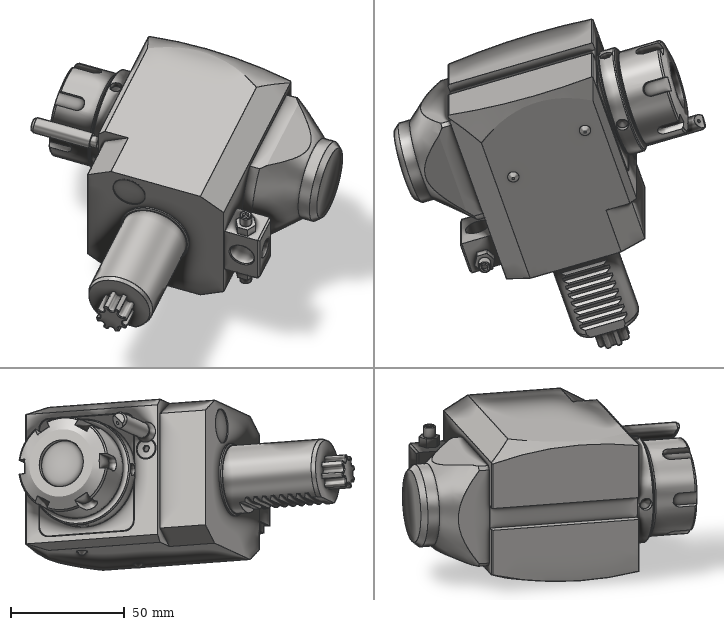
import cadquery as cq
import math


HALF_WIDTH = 32.0
BACK_Y = 84.0
LEFT_X = -35.0
STEP_Y = 21.4
CORNER_RUN = 11.0
CORNER_RISE = CORNER_RUN * math.tan(math.radians(30))
LEFT_BEVEL = -HALF_WIDTH - LEFT_X
CROWN_X = -8.9
CROWN_RADIUS = 146.0
CROWN_EDGE_Z = 31.1
CROWN_SLOPE = math.tan(math.radians(15))
BACK_BEVEL = 0.5
KEYWAY_WIDTH = 10.0
KEYWAY_DEPTH = 3.6
DISC_X, DISC_Z = -12.5, 21.8
DISC_RADIUS = 7.5
DISC_DEPTH = 0.5

SHANK_RADIUS = 15.0
SHANK_LENGTH = 45.0
SHANK_BEVEL_LENGTH, SHANK_BEVEL_DEPTH = 1.8, 0.7
COLLAR_RADIUS = 16.0
COLLAR_LENGTH = 1.4
COLLAR_BEVEL = 0.5
RACK_START_Y = -6.8
RACK_TIP_Z = -12.1
RACK_ROOT_Z = -10.4
RACK_COUNT = 8
RACK_PITCH = 4.0
RACK_FIRST_Y = -11.1
RACK_ROOT_WIDTH, RACK_TOP_WIDTH = 1.3, 3.2
SPLINE_RADIUS = 7.4
SPLINE_LENGTH = 10.0
SPLINE_COUNT = 8
SPLINE_GAP_CENTER = 6.7
SPLINE_GAP_RADIUS = 1.5
SPLINE_BEVEL = 0.4
SPLINE_TIP_ROUND = 0.5

SPINDLE_Y = 55.0
RING_RADIUS = 23.6
RING_FRONT_X, RING_BACK_X = -43.1, -35.7
NECK_RADIUS = 17.8
RING_NECK_RADIUS = 22.8
RING_HOLE_RADIUS = 2.6
RING_HOLE_DEPTH = 4.2
RING_HOLE_POINT = RING_HOLE_RADIUS * math.tan(math.radians(31))
RING_HOLE_X = (RING_FRONT_X + RING_BACK_X) / 2
NUT_RADIUS = 21.1
NUT_FRONT_X, NUT_BACK_X = -64.8, -44.0
NUT_FACE_RADIUS = 15.0
NUT_SHOULDER_RADIUS = 20.5
NUT_SHOULDER_X = -63.2
NUT_LAND_X = -62.4
EDGE_BEVEL = 0.5
BORE_RADIUS = 10.4
BORE_DEPTH = 2.8
NUT_SLOT_COUNT = 6
NUT_SLOT_WIDTH = 6.4
NUT_SLOT_END_X = -52.4
NUT_LONG_SLOT_END_X = -50.5
NUT_SLOT_FLOOR = 17.7
PAD_WIDTH, PAD_HEIGHT = 45.0, 52.8
PAD_CORNER = 4.7
GROOVE_WIDTH = 0.3
GROOVE_DEPTH = 0.3

PIN_Y, PIN_Z = 26.8, 17.1
PIN_TIP_X = -67.7
PIN_RADIUS = 3.5
PIN_BEVEL_LENGTH, PIN_BEVEL_DEPTH = 1.3, 0.7
PIN_BODY_END_X = -40.2
PIN_NECK_RADIUS = 2.5
PIN_FLARE_X = -37.0
PIN_FLARE_RADIUS = 4.5
PIN_OUTLET_RADIUS = 0.7
PIN_OUTLET_DEPTH = 2.1
PLUG_Z = 9.7
PLUG_RADIUS = 4.6
PLUG_SOCKET_DIAMETER = 3.0

BOSS_RADIUS = 32.2
BOSS_CONE_X = 36.5
BOSS_END_RADIUS = 18.2
BOSS_CONE_END_X = 53.0
BOSS_END_X = 60.9
BOSS_END_BEVEL_LENGTH, BOSS_END_BEVEL_DEPTH = 2.6, 2.2
BOSS_HALF_HEIGHT = 23.0
BOSS_SLOPE_X = 38.9
BOSS_TOP_Y = 24.2

BLOCK_END_X = 48.2
BLOCK_FRONT_Y, BLOCK_BACK_Y = 1.3, 16.1
BLOCK_HALF_HEIGHT = 12.2
BLOCK_BEVEL = 0.8
BLOCK_HOLE_RADIUS = 5.5
BLOCK_HOLE_BEVEL = 0.4
SIDE_HOLE_Y = (BLOCK_FRONT_Y + BLOCK_BACK_Y) / 2
SIDE_HOLE_RADIUS = 4.5
SCREW_X, SCREW_Y = 40.0, 6.1
SCREW_RADIUS = 2.6
SCREW_END_Z = 21.1
SCREW_BEVEL = 0.4
SCREW_SOCKET_DIAMETER = 3.0
SCREW_SOCKET_DEPTH = 1.7
NUT_HEX_DIAMETER = 9.3
NUT_HEX_TOP_Z = 16.3

STUD_PLACES = [(-24.2, 61.5), (12.8, 49.5)]
STUD_RADIUS = 2.5
STUD_TIP_RADIUS = 0.5
STUD_HEIGHT = 1.7

EMBED = 1.4
FAR = 139.0


def box(x0, x1, y0, y1, z0, z1):
    return cq.Workplane("XY").box(x1 - x0, y1 - y0, z1 - z0, centered=False).translate((x0, y0, z0))


def turned_x(profile, y, z):
    """Revolve (x, radius) points about the line parallel to X through (y, z)."""
    return cq.Workplane("XY").polyline(profile).close().revolve(360, (0, 0), (1, 0)).translate((0, y, z))


def turned_y(profile):
    """Revolve (y, radius) points about the Y axis."""
    points = [(radius, y) for y, radius in profile]
    return cq.Workplane("XY").polyline(points).close().revolve(360, (0, 0), (0, 1))


def left_face_plane(y, z):
    """Plane on the spindle face; local x runs along -Y, local y along Z, normal along -X."""
    return cq.Workplane(cq.Plane(origin=(LEFT_X, y, z), xDir=(0, -1, 0), normal=(-1, 0, 0)))


def beveled_outline(left, left_run, left_rise):
    """XZ outline with bevels on all four corners; the right-hand bevels are always the same."""
    half = HALF_WIDTH
    upper = [
        (left, half - left_rise),
        (left + left_run, half),
        (half - CORNER_RUN, half),
        (half, half - CORNER_RISE),
    ]
    lower = [(x, -z) for x, z in reversed(upper)]
    return cq.Workplane("XZ").polyline(upper + lower).close()


def crown():
    """Cone that limits the top of the housing toward the back face."""
    front_y = -EMBED
    back_y = BACK_Y + EMBED
    front_radius = CROWN_RADIUS + (BACK_Y - front_y) * CROWN_SLOPE
    back_radius = CROWN_RADIUS + (BACK_Y - back_y) * CROWN_SLOPE
    cone = turned_y([(front_y, 0), (front_y, front_radius), (back_y, back_radius), (back_y, 0)])
    return cone.translate((CROWN_X, 0, CROWN_EDGE_Z - CROWN_RADIUS))


def housing():
    front = beveled_outline(-HALF_WIDTH, CORNER_RUN, CORNER_RISE).extrude(-STEP_Y)
    rear = beveled_outline(LEFT_X, LEFT_BEVEL, LEFT_BEVEL).extrude(STEP_Y - BACK_Y)
    rear = rear.translate((0, STEP_Y, 0))
    rear = rear.faces(">Y").edges("|Z").chamfer(BACK_BEVEL)
    body = front.union(rear)
    upper_crown = crown()
    body = body.intersect(upper_crown).intersect(upper_crown.mirror("XY"))
    half_key = KEYWAY_WIDTH / 2
    body = body.cut(box(-FAR, FAR, BACK_Y - KEYWAY_DEPTH, FAR, -half_key, half_key))
    disc = cq.Workplane("XZ").center(DISC_X, DISC_Z).circle(DISC_RADIUS).extrude(-DISC_DEPTH)
    return body.cut(disc)


def shank():
    bevel_y = SHANK_BEVEL_LENGTH - SHANK_LENGTH
    body = turned_y([
        (EMBED, 0),
        (EMBED, COLLAR_RADIUS),
        (COLLAR_BEVEL - COLLAR_LENGTH, COLLAR_RADIUS),
        (-COLLAR_LENGTH, COLLAR_RADIUS - COLLAR_BEVEL),
        (-COLLAR_LENGTH, SHANK_RADIUS),
        (bevel_y, SHANK_RADIUS),
        (-SHANK_LENGTH, SHANK_RADIUS - SHANK_BEVEL_DEPTH),
        (-SHANK_LENGTH, 0),
    ])
    body = body.cut(box(-FAR, FAR, -FAR, RACK_START_Y, -FAR, RACK_TIP_Z))
    for i in range(RACK_COUNT):
        middle = RACK_FIRST_Y - i * RACK_PITCH
        gap = [
            (middle - RACK_ROOT_WIDTH / 2, RACK_ROOT_Z),
            (middle + RACK_ROOT_WIDTH / 2, RACK_ROOT_Z),
            (middle + RACK_TOP_WIDTH / 2, RACK_TIP_Z),
            (middle - RACK_TOP_WIDTH / 2, RACK_TIP_Z),
        ]
        body = body.cut(cq.Workplane("YZ").polyline(gap).close().extrude(SHANK_RADIUS, both=True))
    return body.union(spline())


def spline():
    length = SPLINE_LENGTH + EMBED
    blank = cq.Workplane("XZ").circle(SPLINE_RADIUS).extrude(length)
    gaps = (
        cq.Workplane("XZ")
        .polarArray(SPLINE_GAP_CENTER, 0, 360, SPLINE_COUNT)
        .circle(SPLINE_GAP_RADIUS)
        .extrude(length)
    )
    teeth = blank.cut(gaps)
    teeth = teeth.edges("|Y").fillet(SPLINE_TIP_ROUND)
    teeth = teeth.faces("<Y").chamfer(SPLINE_BEVEL)
    return teeth.translate((0, EMBED - SHANK_LENGTH, 0))


def nut_slot(end_x):
    """Wrench slot on the +Y side of the nut, flat-bottomed with a round end."""
    half_width = NUT_SLOT_WIDTH / 2
    center_x = end_x - half_width
    slot = box(NUT_FRONT_X - EMBED, center_x, NUT_SLOT_FLOOR, RING_RADIUS, -half_width, half_width)
    round_end = cq.Workplane("XZ", origin=(center_x, NUT_SLOT_FLOOR, 0)).circle(half_width)
    return slot.union(round_end.extrude(NUT_SLOT_FLOOR - RING_RADIUS))


def ring_hole():
    """Radial hole with a drilled point, on the +Z side of the ring."""
    profile = [
        (0, RING_RADIUS - RING_HOLE_DEPTH),
        (RING_HOLE_RADIUS, RING_RADIUS - RING_HOLE_DEPTH + RING_HOLE_POINT),
        (RING_HOLE_RADIUS, RING_RADIUS + EMBED),
        (0, RING_RADIUS + EMBED),
    ]
    hole = cq.Workplane("XZ").polyline(profile).close().revolve(360, (0, 0), (0, 1))
    return hole.translate((RING_HOLE_X, 0, 0))


def spindle():
    body = turned_x([
        (LEFT_X + EMBED, 0),
        (LEFT_X + EMBED, RING_NECK_RADIUS),
        (RING_BACK_X, RING_NECK_RADIUS),
        (RING_BACK_X, RING_RADIUS - EDGE_BEVEL),
        (RING_BACK_X - EDGE_BEVEL, RING_RADIUS),
        (RING_FRONT_X + EDGE_BEVEL, RING_RADIUS),
        (RING_FRONT_X, RING_RADIUS - EDGE_BEVEL),
        (RING_FRONT_X, NECK_RADIUS),
        (NUT_BACK_X, NECK_RADIUS),
        (NUT_BACK_X, NUT_RADIUS - EDGE_BEVEL),
        (NUT_BACK_X - EDGE_BEVEL, NUT_RADIUS),
        (NUT_LAND_X, NUT_RADIUS),
        (NUT_SHOULDER_X, NUT_SHOULDER_RADIUS),
        (NUT_FRONT_X, NUT_FACE_RADIUS),
        (NUT_FRONT_X, BORE_RADIUS),
        (NUT_FRONT_X + BORE_DEPTH, BORE_RADIUS),
        (NUT_FRONT_X + BORE_DEPTH, 0),
    ], 0, 0)
    for i in range(NUT_SLOT_COUNT):
        angle = i * 360 / NUT_SLOT_COUNT
        is_upper = 0 < angle < 180
        slot = nut_slot(NUT_LONG_SLOT_END_X if is_upper else NUT_SLOT_END_X)
        body = body.cut(slot.rotate((0, 0, 0), (1, 0, 0), angle))
    hole = ring_hole()
    for angle in (0, 90, 180, 270):
        body = body.cut(hole.rotate((0, 0, 0), (1, 0, 0), angle))
    return body.translate((0, SPINDLE_Y, 0))


def coolant_pin():
    body = turned_x([
        (LEFT_X + EMBED, 0),
        (LEFT_X + EMBED, PIN_FLARE_RADIUS),
        (LEFT_X, PIN_FLARE_RADIUS),
        (PIN_FLARE_X, PIN_NECK_RADIUS),
        (PIN_BODY_END_X, PIN_NECK_RADIUS),
        (PIN_BODY_END_X, PIN_RADIUS),
        (PIN_TIP_X + PIN_BEVEL_LENGTH, PIN_RADIUS),
        (PIN_TIP_X, PIN_RADIUS - PIN_BEVEL_DEPTH),
        (PIN_TIP_X, 0),
    ], 0, 0)
    outward = cq.Vector(-1, math.sqrt(0.5), -math.sqrt(0.5))
    slope = cq.Plane(origin=(PIN_TIP_X, 0, 0), xDir=(0, 1, 1), normal=outward)
    body = body.cut(cq.Workplane(slope).circle(2 * PIN_RADIUS).extrude(2 * PIN_RADIUS))
    middle = PIN_RADIUS / 2
    outlet_point = (PIN_TIP_X + middle, middle * outward.y, middle * outward.z)
    outlet = cq.Plane(origin=outlet_point, xDir=(0, 1, 1), normal=outward)
    body = body.cut(cq.Workplane(outlet).circle(PIN_OUTLET_RADIUS).extrude(-PIN_OUTLET_DEPTH))
    return body.translate((0, PIN_Y, PIN_Z))


def joint_grooves():
    """Fine grooves in the spindle face: around the cover pad and around the plug, plus its socket."""
    outer = left_face_plane(SPINDLE_Y, 0).rect(PAD_WIDTH, PAD_HEIGHT).extrude(-GROOVE_DEPTH)
    outer = outer.edges("|X").fillet(PAD_CORNER)
    inner = left_face_plane(SPINDLE_Y, 0).rect(PAD_WIDTH - 2 * GROOVE_WIDTH, PAD_HEIGHT - 2 * GROOVE_WIDTH)
    inner = inner.extrude(-GROOVE_DEPTH).edges("|X").fillet(PAD_CORNER - GROOVE_WIDTH)
    plug = left_face_plane(PIN_Y, PLUG_Z)
    plug_ring = plug.circle(PLUG_RADIUS).circle(PLUG_RADIUS - GROOVE_WIDTH).extrude(-GROOVE_DEPTH)
    socket = left_face_plane(PIN_Y, PLUG_Z).polygon(6, PLUG_SOCKET_DIAMETER).extrude(-EMBED)
    return outer.cut(inner).union(plug_ring).union(socket)


def rear_boss():
    inside_x = HALF_WIDTH - EMBED
    body = turned_x([
        (inside_x, 0),
        (inside_x, BOSS_RADIUS),
        (BOSS_CONE_X, BOSS_RADIUS),
        (BOSS_CONE_END_X, BOSS_END_RADIUS),
        (BOSS_END_X - BOSS_END_BEVEL_LENGTH, BOSS_END_RADIUS),
        (BOSS_END_X, BOSS_END_RADIUS - BOSS_END_BEVEL_DEPTH),
        (BOSS_END_X, 0),
    ], 0, 0)
    slope_end = BOSS_HALF_HEIGHT - (BOSS_CONE_END_X - BOSS_SLOPE_X) * math.tan(math.radians(15))
    upper = [
        (inside_x, BOSS_HALF_HEIGHT),
        (BOSS_SLOPE_X, BOSS_HALF_HEIGHT),
        (BOSS_CONE_END_X, slope_end),
        (BOSS_END_X, slope_end),
    ]
    lower = [(x, -z) for x, z in reversed(upper)]
    envelope = cq.Workplane("XZ").polyline(upper + lower).close().extrude(FAR, both=True)
    envelope = envelope.intersect(box(-FAR, FAR, -FAR, BOSS_TOP_Y, -FAR, FAR))
    return body.intersect(envelope).translate((0, SPINDLE_Y, 0))


def clamp_screw():
    """Upper screw with its lock nut, standing on the side block."""
    base_z = BLOCK_HALF_HEIGHT - EMBED
    screw = cq.Workplane("XY").workplane(offset=base_z).circle(SCREW_RADIUS).extrude(SCREW_END_Z - base_z)
    screw = screw.faces(">Z").chamfer(SCREW_BEVEL)
    socket = cq.Workplane("XY").workplane(offset=SCREW_END_Z).polygon(6, SCREW_SOCKET_DIAMETER)
    nut = cq.Workplane("XY").workplane(offset=base_z).polygon(6, NUT_HEX_DIAMETER)
    nut = nut.extrude(NUT_HEX_TOP_Z - base_z)
    return screw.cut(socket.extrude(-SCREW_SOCKET_DEPTH)).union(nut).translate((SCREW_X, SCREW_Y, 0))


def side_block():
    half = BLOCK_HALF_HEIGHT
    body = box(HALF_WIDTH - EMBED, BLOCK_END_X, BLOCK_FRONT_Y, BLOCK_BACK_Y, -half, half)
    body = body.faces(">X").edges().chamfer(BLOCK_BEVEL)
    hole = cq.Workplane("XZ").center(SCREW_X, 0).circle(BLOCK_HOLE_RADIUS).extrude(-2 * BLOCK_BACK_Y)
    body = body.cut(hole)
    body = body.faces("<Y").edges("%CIRCLE").chamfer(BLOCK_HOLE_BEVEL)
    side_hole = cq.Workplane("YZ", origin=(SCREW_X, SIDE_HOLE_Y, 0)).circle(SIDE_HOLE_RADIUS)
    body = body.cut(side_hole.extrude(BLOCK_END_X))
    screw = clamp_screw()
    return body.union(screw).union(screw.mirror("XY"))


def stud(x, y):
    profile = [
        (0, EMBED),
        (STUD_RADIUS, EMBED),
        (STUD_RADIUS, 0),
        (STUD_TIP_RADIUS, -STUD_HEIGHT),
        (0, -STUD_HEIGHT),
    ]
    body = cq.Workplane("XZ").polyline(profile).close().revolve(360, (0, 0), (0, 1))
    return body.translate((x, y, -HALF_WIDTH))


result = housing().cut(joint_grooves())
for part in (shank(), spindle(), coolant_pin(), rear_boss(), side_block()):
    result = result.union(part)
for stud_x, stud_y in STUD_PLACES:
    result = result.union(stud(stud_x, stud_y))